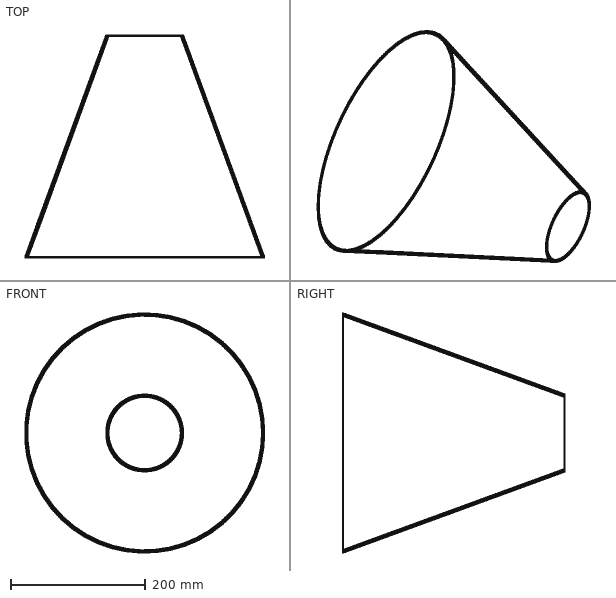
import cadquery as cq

wide_diameter = 355.5
narrow_diameter = 114.0
length = 330.0
radial_wall = 3.2

wide_radius = wide_diameter / 2
narrow_radius = narrow_diameter / 2
wide_y = -length / 2
narrow_y = length / 2

wall_section = (
    cq.Workplane("XY")
    .moveTo(wide_radius - radial_wall, wide_y)
    .lineTo(wide_radius, wide_y)
    .lineTo(narrow_radius, narrow_y)
    .lineTo(narrow_radius - radial_wall, narrow_y)
    .close()
)

result = wall_section.revolve(360, (0, 0, 0), (0, 1, 0))